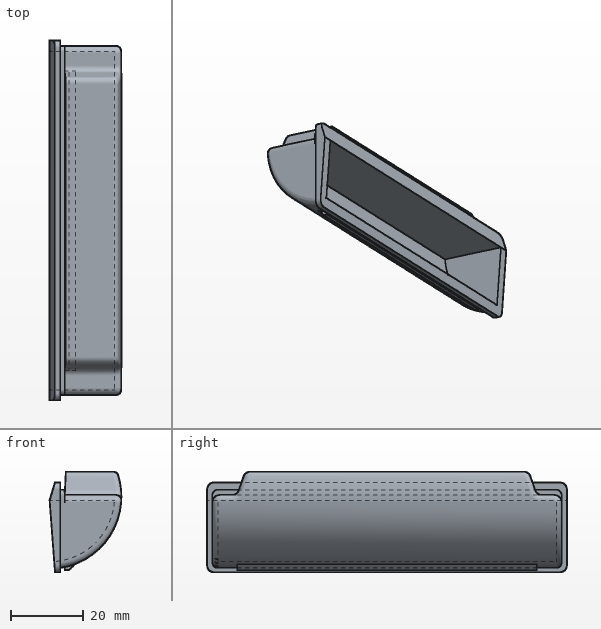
import cadquery as cq

LENGTH = 100.0
FLANGE_HEIGHT = 25.0
FLANGE_BACK = 3.0
FLANGE_EDGE = 1.5
RIDGE_HEIGHT = 20.0
FLANGE_CORNER = 2.0

TOTAL_HEIGHT = 28.0
HOUSING_LENGTH = 97.0
HOUSING_FRONT = 4.2
SHELF_HEIGHT = 21.5
STEP_CORNER = 2.0
STEP_FOOT = 83.2
STEP_TOP = 78.8
FRONT_DRAFT = 0.3
DEPTH = 20.0
BACK_CENTER_Z = 21.0
BACK_EDGE_FILLET = 1.5

NECK_HEIGHT = 23.0
NECK_BOTTOM = BACK_CENTER_Z / 2
NECK_CORNER = 1.6

END_WALL = 1.5
BACK_WALL = 2.0
RECESS_LENGTH = HOUSING_LENGTH - 2 * END_WALL

LIP_LENGTH = STEP_FOOT
LIP_BOTTOM = 0.6
LIP_FLAT = 1.2
LIP_RAMP = 2.0


def along_y(profile, length):
    """Extrude an XZ profile symmetrically about Y = 0."""
    return profile.extrude(length / 2, both=True)


def back_cylinder(radius, length):
    """Cylinder along Y, concentric with the rounded back."""
    return along_y(cq.Workplane("XZ").center(0, BACK_CENTER_Z).circle(radius), length)


def make_flange():
    profile = cq.Workplane("XZ").polyline([
        (FLANGE_EDGE, 0),
        (FLANGE_BACK, 0),
        (FLANGE_BACK, FLANGE_HEIGHT),
        (FLANGE_EDGE, FLANGE_HEIGHT),
        (0, RIDGE_HEIGHT),
    ]).close()
    outline = (
        cq.Workplane("YZ")
        .center(0, FLANGE_HEIGHT / 2)
        .rect(LENGTH, FLANGE_HEIGHT)
        .extrude(FLANGE_BACK)
        .edges("|X")
        .fillet(FLANGE_CORNER)
    )
    return along_y(profile, LENGTH).intersect(outline)


def make_neck():
    """Upper part of the neck, flush with the housing ends."""
    return (
        cq.Workplane("YZ", origin=(FLANGE_BACK, 0, 0))
        .center(0, (NECK_BOTTOM + NECK_HEIGHT) / 2)
        .rect(HOUSING_LENGTH, NECK_HEIGHT - NECK_BOTTOM)
        .extrude(HOUSING_FRONT - FLANGE_BACK)
        .edges("|X and >Z")
        .fillet(NECK_CORNER)
    )


def make_stepped_block():
    """Housing outline across Y and Z, with all upper corners rounded."""
    end = HOUSING_LENGTH / 2
    foot = STEP_FOOT / 2
    top = STEP_TOP / 2
    outline = [
        (-end, 0),
        (end, 0),
        (end, SHELF_HEIGHT),
        (foot, SHELF_HEIGHT),
        (top, TOTAL_HEIGHT),
        (-top, TOTAL_HEIGHT),
        (-foot, SHELF_HEIGHT),
        (-end, SHELF_HEIGHT),
    ]
    block = cq.Workplane("YZ", origin=(FLANGE_BACK, 0, 0)).polyline(outline).close().extrude(DEPTH)
    return block.edges("|X").edges("not <Z").fillet(STEP_CORNER)


def make_housing():
    body = make_stepped_block().intersect(back_cylinder(DEPTH, LENGTH))
    body = body.faces(">X").edges("not <X").fillet(BACK_EDGE_FILLET)

    front_gap = cq.Workplane("XZ").polyline([
        (FLANGE_BACK, NECK_BOTTOM),
        (HOUSING_FRONT, NECK_BOTTOM),
        (HOUSING_FRONT, SHELF_HEIGHT),
        (HOUSING_FRONT + FRONT_DRAFT, TOTAL_HEIGHT),
        (FLANGE_BACK, TOTAL_HEIGHT),
    ]).close()
    return body.cut(along_y(front_gap, LENGTH))


def make_recess():
    """Recess concentric with the back, under a flat ceiling level with the ridge."""
    below_ceiling = (
        cq.Workplane("XY")
        .center(DEPTH / 2, 0)
        .rect(DEPTH, RECESS_LENGTH)
        .extrude(RIDGE_HEIGHT)
    )
    return below_ceiling.intersect(back_cylinder(DEPTH - BACK_WALL, LENGTH))


def make_lip():
    flat_end = HOUSING_FRONT + LIP_FLAT
    profile = cq.Workplane("XZ").polyline([
        (HOUSING_FRONT, LIP_BOTTOM),
        (flat_end, LIP_BOTTOM),
        (flat_end + LIP_RAMP, LIP_BOTTOM + LIP_RAMP),
        (HOUSING_FRONT, LIP_BOTTOM + LIP_RAMP),
    ]).close()
    return along_y(profile, LIP_LENGTH)


solid_handle = make_flange().union(make_housing()).union(make_neck()).union(make_lip())
result = solid_handle.cut(make_recess())